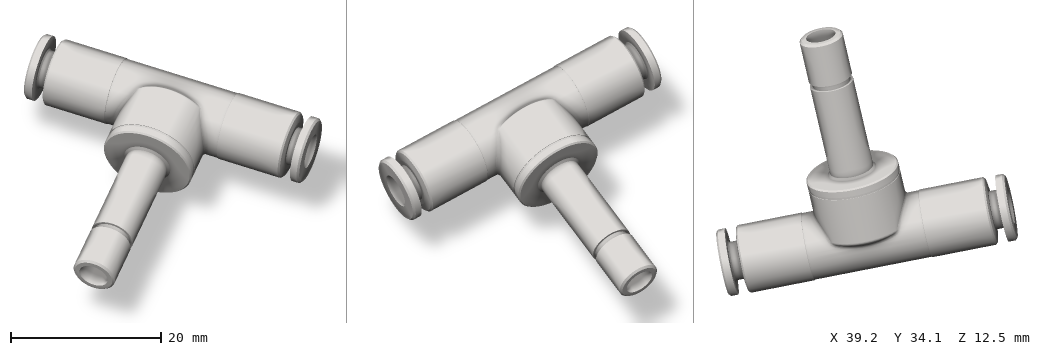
import cadquery as cq

selection_margin = 0.05

half_length = 19.6
axis_to_stem_end = 29.48
core_radius = 4.5
collar_radius = 4.6
collar_inner_x = 7.95
collar_outer_x = 16.9
collar_chamfer = 0.25
collar_step_chamfer = 0.06
cap_base_radius = 4.35
cap_tip_radius = 3.25
cap_height = 0.2
neck_radius = 2.6
neck_flare = 0.2
flange_radius = 4.5
flange_thickness = 1.2
flange_chamfer = 0.27

run_bore_radius = 1.5
mouth_radius = 2.1
mouth_edge_radius = 2.3
mouth_edge_depth = 0.65

boss_diameter = 12.5
boss_radius = boss_diameter / 2
boss_face = 9.55
boss_face_chamfer = 0.2
boss_back = 1.45
boss_back_rounding = 0.47
cone_tip_radius = 3.72
cone_length = 1.4
boss_blend_radius = 0.47
seam_start = 8.2
seam_width = 0.3
seam_depth = 0.08

stem_radius = 2.95
stem_bore_radius = 2.0
stem_chamfer = 0.27
root_radius = 3.3
root_length = 0.27
groove_start = 22.58
groove_width = 0.8
groove_radius = 2.6


def x_cylinder(radius, start, end):
    """Cylinder about the X axis between two X positions."""
    return cq.Workplane("YZ").workplane(offset=start).circle(radius).extrude(end - start)


def x_revolved(points):
    """Solid about the X axis from (X, radius) points."""
    return cq.Workplane("XY").polyline(points).close().revolve(360, (0, 0, 0), (1, 0, 0))


def y_revolved(points):
    """Solid about the Y axis from (radius, distance toward -Y) points."""
    profile = [(radius, -distance) for radius, distance in points]
    return cq.Workplane("XY").polyline(profile).close().revolve(360, (0, 0, 0), (0, 1, 0))


def make_boss():
    """Cylinder with a rounded shoulder running into a cone buried in the run."""
    boss = y_revolved([
        (0, boss_back - cone_length),
        (cone_tip_radius, boss_back - cone_length),
        (boss_radius, boss_back),
        (boss_radius, boss_face),
        (0, boss_face),
    ])
    boss = boss.faces("<Y").edges().chamfer(boss_face_chamfer)
    shoulder = cq.selectors.BoxSelector(
        (-boss_radius, -boss_back - selection_margin, -boss_radius),
        (boss_radius, -boss_back + selection_margin, boss_radius),
    )
    return boss.edges(shoulder).fillet(boss_back_rounding)


def make_seam():
    """Shallow ring removed around the boss near its face."""
    seam_end = seam_start + seam_width
    floor_radius = boss_radius - seam_depth
    outer_radius = boss_radius + seam_depth
    return y_revolved([
        (floor_radius, seam_start),
        (outer_radius, seam_start),
        (outer_radius, seam_end),
        (floor_radius, seam_end),
    ])


def make_stem():
    """Stem with a flared root, a retaining groove and a chamfered tip."""
    groove_end = groove_start + groove_width
    return y_revolved([
        (0, boss_face),
        (root_radius, boss_face),
        (stem_radius, boss_face + root_length),
        (stem_radius, groove_start),
        (groove_radius, groove_start),
        (groove_radius, groove_end),
        (stem_radius, groove_end),
        (stem_radius, axis_to_stem_end - stem_chamfer),
        (stem_radius - stem_chamfer, axis_to_stem_end),
        (0, axis_to_stem_end),
    ])


def make_run_end():
    """Collar with a conical cap, neck and release flange at the +X end of the run."""
    flange_inner_x = half_length - flange_thickness
    collar = x_cylinder(collar_radius, collar_inner_x, collar_outer_x)
    collar = collar.faces(">X").edges().chamfer(collar_chamfer)
    collar = collar.faces("<X").edges().chamfer(collar_step_chamfer)
    cap_and_neck = x_revolved([
        (collar_outer_x, 0),
        (collar_outer_x, cap_base_radius),
        (collar_outer_x + cap_height, cap_tip_radius),
        (collar_outer_x + cap_height, neck_radius),
        (flange_inner_x - neck_flare, neck_radius),
        (flange_inner_x, neck_radius + neck_flare),
        (flange_inner_x, 0),
    ])
    flange = x_cylinder(flange_radius, flange_inner_x, half_length)
    flange = flange.faces(">X").edges().chamfer(flange_chamfer)
    return collar.union(cap_and_neck).union(flange)


def make_mouth():
    """Long taper from the end of the collar, with a steeper lead-in, at the +X end of the bore."""
    return x_revolved([
        (half_length, 0),
        (half_length, mouth_edge_radius),
        (half_length - mouth_edge_depth, mouth_radius),
        (collar_inner_x, run_bore_radius),
        (collar_inner_x, 0),
    ])


core = x_cylinder(core_radius, -collar_inner_x, collar_inner_x)
boss = make_boss()
body = core.union(boss)
blend_zone = cq.selectors.BoxSelector(
    (-boss_radius - selection_margin, -core_radius - selection_margin, -core_radius - selection_margin),
    (boss_radius + selection_margin, 0, core_radius + selection_margin),
    boundingbox=True,
)
body = body.edges(blend_zone)
body = body.fillet(boss_blend_radius)
body = body.cut(make_seam()).union(make_stem())

for part_end in (make_run_end(), make_run_end().mirror("YZ")):
    body = body.union(part_end)

body = body.cut(x_cylinder(run_bore_radius, -half_length, half_length))
for mouth in (make_mouth(), make_mouth().mirror("YZ")):
    body = body.cut(mouth)
stem_bore = y_revolved([
    (0, 0),
    (stem_bore_radius, 0),
    (stem_bore_radius, axis_to_stem_end),
    (0, axis_to_stem_end),
])
result = body.cut(stem_bore)